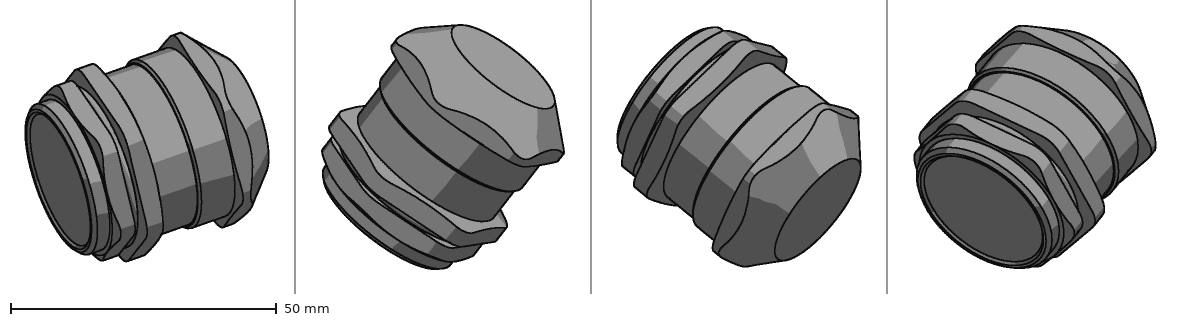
import cadquery as cq
import math

TOTAL_LENGTH = 38.25

LOCKNUT_START = 3.42
LOCKNUT_END = 7.4
BODY_HEX_START = 9.05
BODY_HEX_END = 13.53
COLLAR_START = 21.25
CAP_START = 28.75

THREAD_DIAMETER = 30.0
BODY_DIAMETER = 32.0
COLLAR_DIAMETER = 33.6
SEAL_DIAMETER = 32.25
CAP_END_DIAMETER = 23.95
THREAD_CHAMFER = 0.8
COLLAR_CHAMFER = 0.5

HEX_WIDTH = 35.0
LOCKNUT_WIDTH = 32.0
CORNER_RADIUS = 4.95
CAP_CONE_ANGLE = 45
CAP_BACK_ANGLE = 9
BODY_HEX_ANGLE = 18
LOCKNUT_ANGLE = 30

RECESS_DIAMETER = 27.2
RECESS_FLOOR_DIAMETER = 26.2
RECESS_DEPTH = (RECESS_DIAMETER - RECESS_FLOOR_DIAMETER) / 2

AXIS_START = (0, 0, 0)
AXIS_END = (0, 1, 0)


def revolve_profile(points):
    """Turn a closed (radius, station) outline about the Y axis."""
    return cq.Workplane("XY").polyline(points).close().revolve(360, AXIS_START, AXIS_END)


def cylinder(diameter, start, end):
    radius = diameter / 2
    return revolve_profile([(0, start), (radius, start), (radius, end), (0, end)])


def rounded_hexagon(width, start, end):
    corner_diameter = width / math.cos(math.radians(30))
    prism = cq.Workplane("XZ", origin=(0, start, 0)).polygon(6, corner_diameter).extrude(start - end)
    return prism.edges("|Y").fillet(CORNER_RADIUS)


def turned_hexagon(width, start, end, start_cone=None, end_cone=None):
    """Rounded hexagon cut by a cone, given as (face diameter, angle), at either end."""
    outer_radius = width / math.sqrt(3)
    outline = [(0, start)]
    if start_cone:
        face_radius = start_cone[0] / 2
        drop = (outer_radius - face_radius) * math.tan(math.radians(start_cone[1]))
        outline += [(face_radius, start), (outer_radius, start + drop)]
    else:
        outline.append((outer_radius, start))
    if end_cone:
        face_radius = end_cone[0] / 2
        drop = (outer_radius - face_radius) * math.tan(math.radians(end_cone[1]))
        outline += [(outer_radius, end - drop), (face_radius, end)]
    else:
        outline.append((outer_radius, end))
    outline.append((0, end))
    return rounded_hexagon(width, start, end).intersect(revolve_profile(outline))


thread = cylinder(THREAD_DIAMETER, 0, BODY_HEX_START).faces("<Y").chamfer(THREAD_CHAMFER)

locknut = turned_hexagon(
    LOCKNUT_WIDTH, LOCKNUT_START, LOCKNUT_END, start_cone=(LOCKNUT_WIDTH, LOCKNUT_ANGLE)
)

seal_round = (BODY_HEX_START - LOCKNUT_END) / 2
seal_shoulder = SEAL_DIAMETER / 2 - seal_round
seal = (
    cq.Workplane("XY")
    .moveTo(0, LOCKNUT_END)
    .lineTo(seal_shoulder, LOCKNUT_END)
    .threePointArc((SEAL_DIAMETER / 2, LOCKNUT_END + seal_round), (seal_shoulder, BODY_HEX_START))
    .lineTo(0, BODY_HEX_START)
    .close()
    .revolve(360, AXIS_START, AXIS_END)
)

body_hex = turned_hexagon(
    HEX_WIDTH, BODY_HEX_START, BODY_HEX_END, end_cone=(BODY_DIAMETER, BODY_HEX_ANGLE)
)

body = cylinder(BODY_DIAMETER, BODY_HEX_END, COLLAR_START)

collar = cylinder(COLLAR_DIAMETER, COLLAR_START, CAP_START).faces("<Y").chamfer(COLLAR_CHAMFER)

cap = turned_hexagon(
    HEX_WIDTH,
    CAP_START,
    TOTAL_LENGTH,
    start_cone=(COLLAR_DIAMETER, CAP_BACK_ANGLE),
    end_cone=(CAP_END_DIAMETER, CAP_CONE_ANGLE),
)

recess = revolve_profile(
    [
        (0, 0),
        (RECESS_DIAMETER / 2, 0),
        (RECESS_FLOOR_DIAMETER / 2, RECESS_DEPTH),
        (0, RECESS_DEPTH),
    ]
)

result = thread
for section in (locknut, seal, body_hex, body, collar, cap):
    result = result.union(section)
result = result.cut(recess)